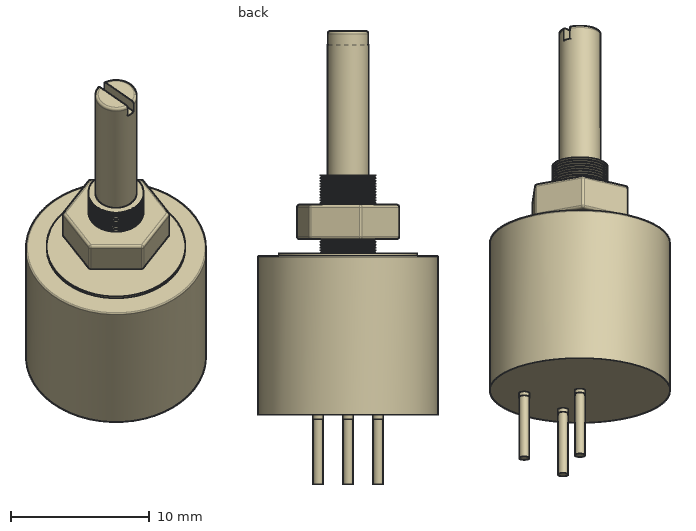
import cadquery as cq


body_diameter = 13.0
body_height = 11.45
body_edge_radius = 0.1
face_diameter = 10.0
face_height = 0.2
face_top = body_height + face_height

bushing_diameter = 4.0
bushing_length = 5.6
thread_pitch = 0.2
thread_depth = 0.15
bushing_top = face_top + bushing_length
groove_count = round(bushing_length / thread_pitch)

nut_across_flats = 6.7
nut_height = 2.5
nut_gap = 1.0
nut_edge_radius = 0.2
nut_rotation = 43.5
nut_bottom = face_top + nut_gap
cos_30 = 3 ** 0.5 / 2

shaft_diameter = 3.0
shaft_reach = 16.0
shaft_edge_radius = 0.2
slot_width = 0.6
slot_depth = 1.0
shaft_top = face_top + shaft_reach

pin_diameter = 0.74
pin_length = 5.0
pin_collar_diameter = 0.78
pin_collar_height = 0.3
pin_offset_x = 2.16
pin_offset_y = 3.43
pin_positions = [(-pin_offset_x, pin_offset_y), (0, 0), (pin_offset_x, pin_offset_y)]


def cylinder(diameter, bottom, height):
    """Upright cylinder on the Z axis."""
    return cq.Workplane("XY").workplane(offset=bottom).circle(diameter / 2).extrude(height)


def make_body():
    """Round housing with a softened top rim and the raised mounting face."""
    housing = cylinder(body_diameter, 0, body_height).faces(">Z").edges().fillet(body_edge_radius)
    return housing.union(cylinder(face_diameter, body_height, face_height))


def make_bushing():
    """Bushing whose thread is a stack of V-shaped ring grooves, revolved as one profile."""
    crest = bushing_diameter / 2
    root = crest - thread_depth
    profile = cq.Workplane("XZ").moveTo(0, face_top).lineTo(crest, face_top)
    for groove in range(groove_count):
        groove_bottom = face_top + groove * thread_pitch
        profile = profile.lineTo(root, groove_bottom + thread_pitch / 2)
        profile = profile.lineTo(crest, groove_bottom + thread_pitch)
    profile = profile.lineTo(0, bushing_top).close()
    return profile.revolve(360, (0, 0, 0), (0, 1, 0))


def make_nut():
    """Hexagon nut with every outer edge rounded."""
    nut = cq.Workplane("XY").workplane(offset=nut_bottom)
    nut = nut.polygon(6, nut_across_flats / cos_30).extrude(nut_height)
    nut = nut.edges().fillet(nut_edge_radius)
    return nut.rotate((0, 0, 0), (0, 0, 1), nut_rotation)


def make_shaft():
    """Shaft with a rounded tip and a screwdriver slot along X."""
    shaft = cylinder(shaft_diameter, face_top, shaft_reach)
    shaft = shaft.faces(">Z").edges().fillet(shaft_edge_radius)
    slot = cq.Workplane("XY").workplane(offset=shaft_top - slot_depth)
    slot = slot.rect(shaft_diameter * 2, slot_width).extrude(slot_depth)
    return shaft.cut(slot)


def make_pin(x, y):
    """Terminal pin hanging below the body, with a short collar at its root."""
    pin = cylinder(pin_diameter, -pin_length, pin_length)
    collar = cylinder(pin_collar_diameter, -pin_collar_height, pin_collar_height)
    return pin.union(collar).translate((x, y, 0))


result = make_body().union(make_bushing()).union(make_nut()).union(make_shaft())
for pin_x, pin_y in pin_positions:
    result = result.union(make_pin(pin_x, pin_y))